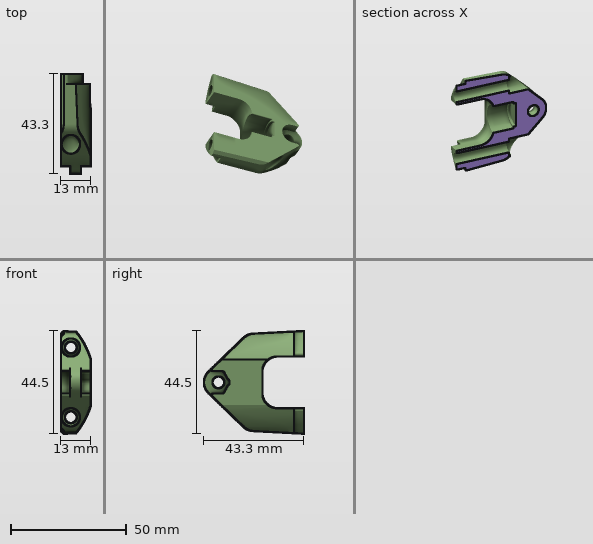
import cadquery as cq
import math


thickness = 13.0
back_y = 36.96
half_height = 44.45 / 2
nose_radius = 6.3
flank_angle = 44.0
taper_angle = 3.0
shoulder_radius = 6.5
edge_chamfer = 1.25

crown_radius = 34.2
crown_axis_x = -19.75

gap_half_height = 11.1
gap_bottom_y = 19.04
gap_corner_radius = 6.35

rebate_length = 4.4
rebate_depth = 2.5
rebate_edge_radius = 1.0

pivot_diameter = 5.0
lug_start_x = 4.0
lug_end_x = 8.75
recess_radius = 4.85
prong_tip_radius = 0.7

groove_radius = 1.65
groove_half_angle = 51.0
groove_flank_angle = 31.0
groove_edge_radius = 1.0
ledge_angle = 10.0
ledge_corner_radius = 1.3

bore_axis_x = 4.3
screw_z = 15.05
screw_diameter = 5.0
counterbore_diameter = 7.9
counterbore_floor_y = 11.5
socket_radius = 6.35
socket_floor_y = 9.52
socket_step_radius = 5.5
socket_step_floor_y = 8.42
socket_lip_radius = 0.3

clearance = 20.0

pick_margin = 0.5


def extrude_x(sketch, start, end):
    """Extrude a closed YZ sketch from X = start to X = end."""
    return sketch.extrude(end - start).translate((start, 0, 0))


def mirrored(points):
    """Points of an upper (Z > 0) chain followed by their mirror images, in closing order."""
    return points + [(y, -z) for y, z in reversed(points)]


def cylinder_y(x, z, radius, start, end):
    """Cylinder along Y from Y = start to Y = end."""
    disc = cq.Workplane("XZ", origin=(x, start, z)).circle(radius)
    return disc.extrude(start - end)


def flank_tangent_point():
    """Where the upper flank leaves the nose circle."""
    angle = math.radians(flank_angle)
    return -nose_radius * math.sin(angle), nose_radius * math.cos(angle)


def arm_outside_z(y):
    """Height of the upper arm's tapered outside at a given Y."""
    return half_height - (back_y - y) * math.tan(math.radians(taper_angle))


def shoulder_point():
    """Sharp corner where the upper flank meets the arm outside."""
    flank_slope = math.tan(math.radians(flank_angle))
    taper_slope = math.tan(math.radians(taper_angle))
    flank_z_at_pivot = nose_radius / math.cos(math.radians(flank_angle))
    y = (arm_outside_z(0) - flank_z_at_pivot) / (flank_slope - taper_slope)
    return y, arm_outside_z(y)


def round_recess():
    """Round-ended slot around the pivot, open toward -Y."""
    return (
        cq.Workplane("YZ")
        .moveTo(-clearance, recess_radius)
        .lineTo(0, recess_radius)
        .threePointArc((recess_radius, 0), (0, -recess_radius))
        .lineTo(-clearance, -recess_radius)
        .close()
    )


def polar(center, radius, degrees):
    """Point at a radius and angle from a center, the angle measured from the first axis."""
    angle = math.radians(degrees)
    return center[0] + radius * math.cos(angle), center[1] + radius * math.sin(angle)


def grooved_recess():
    """Slot open toward -Y whose bottom has two ledges, sloping flanks and a central groove.

    The upper half of the bottom is a chain of tangent arcs and one straight flank, worked out
    from the groove middle to the slot wall. Angles are those of the surface normal from Y.
    """
    groove_center = (recess_radius - groove_radius, 0)
    groove_middle = polar(groove_center, groove_radius, groove_half_angle / 2)
    groove_end = polar(groove_center, groove_radius, groove_half_angle)

    inner_center = polar(groove_end, groove_edge_radius, groove_half_angle)
    inner_middle = polar(inner_center, -groove_edge_radius, (groove_half_angle + groove_flank_angle) / 2)
    inner_end = polar(inner_center, -groove_edge_radius, groove_flank_angle)

    flank = math.radians(groove_flank_angle)
    ledge = math.radians(ledge_angle)
    outer_rise = groove_edge_radius * (math.sin(flank) - math.sin(ledge))
    corner_rise = ledge_corner_radius * (1 - math.sin(ledge))
    flank_rise = recess_radius - inner_end[1] - outer_rise - corner_rise
    flank_end = polar(inner_end, flank_rise / math.cos(flank), groove_flank_angle + 90)

    outer_center = polar(flank_end, groove_edge_radius, groove_flank_angle)
    outer_middle = polar(outer_center, -groove_edge_radius, (groove_flank_angle + ledge_angle) / 2)
    outer_end = polar(outer_center, -groove_edge_radius, ledge_angle)

    corner_center = polar(outer_end, -ledge_corner_radius, ledge_angle)
    corner_middle = polar(corner_center, ledge_corner_radius, (ledge_angle + 90) / 2)
    corner_end = polar(corner_center, ledge_corner_radius, 90)

    upper_half = (
        cq.Workplane("YZ")
        .moveTo(recess_radius, 0)
        .threePointArc(groove_middle, groove_end)
        .threePointArc(inner_middle, inner_end)
        .lineTo(*flank_end)
        .threePointArc(outer_middle, outer_end)
        .threePointArc(corner_middle, corner_end)
        .lineTo(-clearance, recess_radius)
        .lineTo(-clearance, 0)
    )
    return upper_half.mirrorX()


def side_plate(start, end, recess):
    """Full outline with two prongs, their tips rounded, either side of the recess."""
    flank_apex = (-nose_radius / math.sin(math.radians(flank_angle)), 0)
    outline = [flank_apex] + mirrored([shoulder_point(), (back_y, half_height)])
    plate = extrude_x(cq.Workplane("YZ").polyline(outline).close(), start, end)
    plate = plate.cut(extrude_x(recess, start, end))
    return plate.edges("|X").edges("<Y").fillet(prong_tip_radius)


def lug_plate():
    """Full outline with a round nose, as thick as the pivot lug."""
    y, z = flank_tangent_point()
    shoulder_y, shoulder_z = shoulder_point()
    sketch = (
        cq.Workplane("YZ")
        .moveTo(y, -z)
        .threePointArc((-nose_radius, 0), (y, z))
        .lineTo(shoulder_y, shoulder_z)
        .lineTo(back_y, half_height)
        .lineTo(back_y, -half_height)
        .lineTo(shoulder_y, -shoulder_z)
        .close()
    )
    return extrude_x(sketch, lug_start_x, lug_end_x)


def box_around(x_min, x_max, y_min, y_max, z_min, z_max):
    """Selector for whatever has its center within the given limits, plus a margin."""
    low = (x_min - pick_margin, y_min - pick_margin, z_min - pick_margin)
    high = (x_max + pick_margin, y_max + pick_margin, z_max + pick_margin)
    return cq.selectors.BoxSelector(low, high)


def rounded_shoulders(body):
    """Round the corners between the nose flanks and the arm outsides."""
    y, z = shoulder_point()
    for corner_z in (z, -z):
        near = box_around(0, thickness, y, y, corner_z, corner_z)
        body = body.edges("|X").edges(near).fillet(shoulder_radius)
    return body


def crown(radius, start, end):
    """Cylinder about the crown axis that bounds the +X side."""
    return cylinder_y(crown_axis_x, 0, radius, start, end)


def chamfer_arms(body):
    """Chamfer the outer edges of both arms on the -X face, parallel to the arm taper."""
    wedge = (
        cq.Workplane("XZ", origin=(0, back_y + clearance, 0))
        .moveTo(0, half_height - edge_chamfer)
        .lineTo(clearance, half_height - edge_chamfer + clearance)
        .lineTo(0, half_height - edge_chamfer + clearance)
        .close()
        .extrude(back_y + clearance)
        .rotate((0, back_y, half_height), (1, back_y, half_height), taper_angle)
    )
    return body.cut(wedge).cut(wedge.mirror("XY"))


def arm_gap():
    """U-shaped opening between the arms."""
    length = back_y + clearance - gap_bottom_y
    height = 2 * gap_half_height
    gap = cq.Workplane("XY").box(thickness, length, height, centered=(False, False, True))
    gap = gap.translate((0, gap_bottom_y, 0))
    return gap.edges("|X").edges("<Y").fillet(gap_corner_radius)


def arm_ends(body):
    """Arm ends stepped in to a smaller crown, with rounded long edges."""
    start = back_y - rebate_length
    ends = body.intersect(crown(crown_radius - rebate_depth, start, back_y))
    middle_y = (start + back_y) / 2
    long_edges = box_around(2 * edge_chamfer, thickness, middle_y, middle_y, -half_height, half_height)
    return ends.edges(long_edges).fillet(rebate_edge_radius)


def screw_holes(body):
    """Counterbored screw holes through both arms."""
    for z in (screw_z, -screw_z):
        body = body.cut(cylinder_y(bore_axis_x, z, screw_diameter / 2, -clearance, back_y))
        body = body.cut(cylinder_y(bore_axis_x, z, counterbore_diameter / 2, -clearance, counterbore_floor_y))
    return body


def lipped_bore(radius, start, end):
    """Bore along Y that breaks out through the -X face with rounded lips."""
    lip_z = math.sqrt((radius + socket_lip_radius) ** 2 - (bore_axis_x - socket_lip_radius) ** 2)
    lip_center = (socket_lip_radius, lip_z)
    lip_end_angle = math.degrees(math.atan2(-lip_z, bore_axis_x - socket_lip_radius))
    middle_x, middle_z = polar(lip_center, socket_lip_radius, (lip_end_angle - 180) / 2)
    end_x, end_z = polar(lip_center, socket_lip_radius, lip_end_angle)
    return (
        cq.Workplane("XZ", origin=(0, start, 0))
        .moveTo(0, lip_z)
        .threePointArc((middle_x, middle_z), (end_x, end_z))
        .threePointArc((bore_axis_x + radius, 0), (end_x, -end_z))
        .threePointArc((middle_x, -middle_z), (0, -lip_z))
        .close()
        .extrude(start - end)
    )


def socket():
    """Stepped bore in the bottom of the gap."""
    wide = lipped_bore(socket_radius, socket_floor_y, back_y)
    narrow = lipped_bore(socket_step_radius, socket_step_floor_y, back_y)
    return wide.union(narrow)


def pivot_hole():
    """Hole through the lug on the pivot axis."""
    return extrude_x(cq.Workplane("YZ").circle(pivot_diameter / 2), 0, thickness)


left_plate = side_plate(0, lug_start_x, round_recess())
right_plate = side_plate(lug_end_x, thickness, grooved_recess())
body = left_plate.union(lug_plate()).union(right_plate).clean()
body = rounded_shoulders(body)
body = body.intersect(crown(crown_radius, -clearance, back_y))
body = chamfer_arms(body).cut(arm_gap())
front = body.intersect(crown(crown_radius, -clearance, back_y - rebate_length))
body = front.union(arm_ends(body))
body = screw_holes(body)
result = body.cut(socket()).cut(pivot_hole())